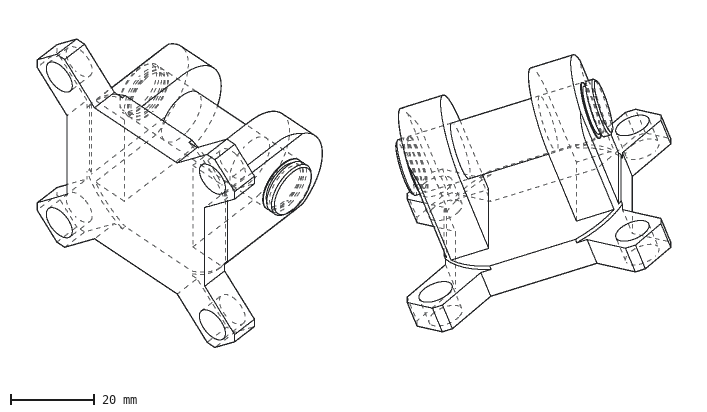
import cadquery as cq
import math

core_side = 45.0
overall_side = 64.5
plate_thickness = 7.0
seat_height = 1.0
round_diameter = 50.0
seat_y = plate_thickness + seat_height
arm_width = 9.0 * math.sqrt(2)
arm_tip_reach = 41.05
hole_pitch = 50.0
hole_diameter = 8.5

lug_radius = 14.0
lug_axis_y = 28.0
lug_inner_x = 11.15
lug_outer_x = 21.9
lug_thickness = lug_outer_x - lug_inner_x

pin_diameter = 14.0
pin_length = 50.5
pin_chamfer = 0.5
groove_diameter = 12.0
groove_inner_x = 22.1
groove_width = 1.1


def centred_block(width, height, thickness):
    """Block centred on the Y axis, from Y = 0 to Y = thickness."""
    return cq.Workplane("XZ").rect(width, height).extrude(-thickness)


def make_plate():
    plate = centred_block(core_side, core_side, plate_thickness)
    bar = centred_block(2 * arm_tip_reach, arm_width, plate_thickness)
    outline = centred_block(overall_side, overall_side, plate_thickness)
    for angle in (45, -45):
        arms = bar.rotate((0, 0, 0), (0, 1, 0), angle).intersect(outline)
        plate = plate.union(arms)
    holes = (
        cq.Workplane("XZ")
        .rect(hole_pitch, hole_pitch, forConstruction=True)
        .vertices()
        .circle(hole_diameter / 2)
        .extrude(-plate_thickness)
    )
    return plate.cut(holes)


def make_lug(start_x):
    """Round-ended lug standing on the seat, from start_x towards +X."""
    return (
        cq.Workplane("YZ", origin=(start_x, 0, 0))
        .moveTo(seat_y, -lug_radius)
        .lineTo(lug_axis_y, -lug_radius)
        .threePointArc((lug_axis_y + lug_radius, 0), (lug_axis_y, lug_radius))
        .lineTo(seat_y, lug_radius)
        .close()
        .extrude(lug_thickness)
    )


def make_seat_and_lugs():
    """Raised seat with both lugs, their outer corners rounded by one cylinder about Y."""
    clevis = centred_block(core_side, core_side, seat_y)
    for start_x in (-lug_outer_x, lug_inner_x):
        clevis = clevis.union(make_lug(start_x))
    envelope = (
        cq.Workplane("XZ", origin=(0, plate_thickness, 0))
        .circle(round_diameter / 2)
        .extrude(plate_thickness - lug_axis_y - lug_radius)
    )
    return clevis.intersect(envelope)


def pin_axis_cylinder(diameter, start_x, length):
    return (
        cq.Workplane("YZ", origin=(start_x, lug_axis_y, 0))
        .circle(diameter / 2)
        .extrude(length)
    )


def make_bracket():
    bracket = make_plate().union(make_seat_and_lugs())
    return bracket.cut(pin_axis_cylinder(pin_diameter, -pin_length / 2, pin_length))


def make_pin():
    pin = pin_axis_cylinder(pin_diameter, -pin_length / 2, pin_length)
    pin = pin.faces("<X or >X").chamfer(pin_chamfer)
    for start_x in (-groove_inner_x - groove_width, groove_inner_x):
        ring = pin_axis_cylinder(pin_diameter, start_x, groove_width)
        ring = ring.cut(pin_axis_cylinder(groove_diameter, start_x, groove_width))
        pin = pin.cut(ring)
    return pin


bracket = make_bracket()
pin = make_pin()
result = cq.Compound.makeCompound([bracket.val(), pin.val()])